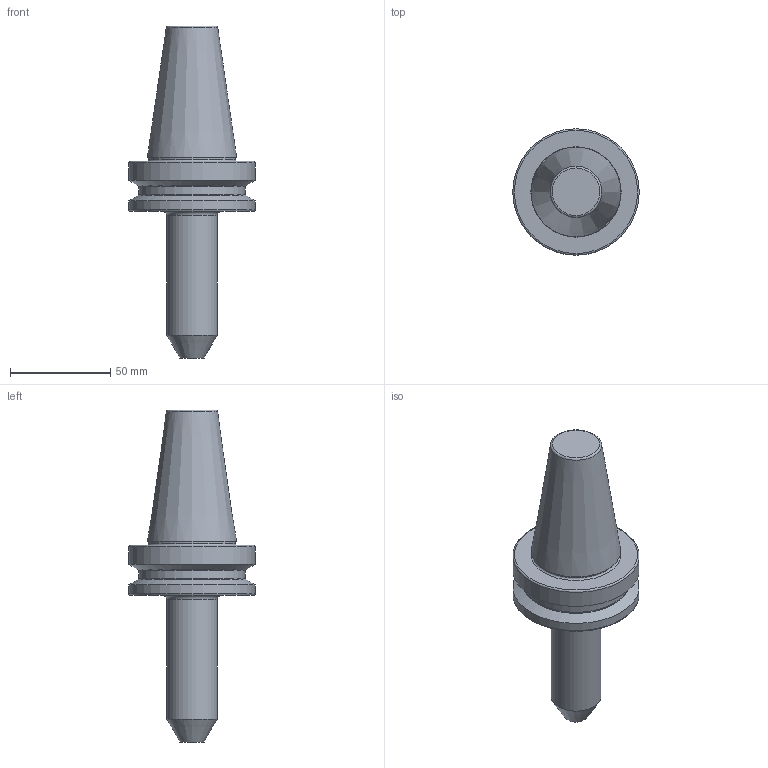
import cadquery as cq
import math


GAUGE_RADIUS = 44.45 / 2
TAPER_LENGTH = 65.4
TAPER_RATIO = 7 / 24
TAPER_END_RADIUS = GAUGE_RADIUS - TAPER_LENGTH * TAPER_RATIO / 2
TAPER_END_FILLET = 1.0

NECK_RADIUS = 21.5
NECK_FILLET = 1.0

FLANGE_RADIUS = 63.0 / 2
FLANGE_TOP_Z = -2.0
FLANGE_BOTTOM_Z = -27.0
FLANGE_FILLET = 0.8
GROOVE_RADIUS = 53.0 / 2
GROOVE_CENTER_Z = -16.6
GROOVE_MOUTH_WIDTH = 10.3
GROOVE_FLOOR_FILLET = 0.5
GROOVE_FLANK_ANGLE = 30.0

SHANK_RADIUS = 25.0 / 2
SHANK_FILLET = 2.0
TIP_RADIUS = 12.0 / 2
TIP_HALF_ANGLE = 30.0
TIP_Z = -100.0


def build_body():
    """Revolve everything except the gripper groove."""
    tip_length = (SHANK_RADIUS - TIP_RADIUS) / math.tan(math.radians(TIP_HALF_ANGLE))
    return (
        cq.Workplane("XZ")
        .moveTo(0, TIP_Z)
        .lineTo(TIP_RADIUS, TIP_Z)
        .lineTo(SHANK_RADIUS, TIP_Z + tip_length)
        .lineTo(SHANK_RADIUS, FLANGE_BOTTOM_Z - SHANK_FILLET)
        .radiusArc((SHANK_RADIUS + SHANK_FILLET, FLANGE_BOTTOM_Z), SHANK_FILLET)
        .lineTo(FLANGE_RADIUS - FLANGE_FILLET, FLANGE_BOTTOM_Z)
        .radiusArc((FLANGE_RADIUS, FLANGE_BOTTOM_Z + FLANGE_FILLET), -FLANGE_FILLET)
        .lineTo(FLANGE_RADIUS, FLANGE_TOP_Z - FLANGE_FILLET)
        .radiusArc((FLANGE_RADIUS - FLANGE_FILLET, FLANGE_TOP_Z), -FLANGE_FILLET)
        .lineTo(NECK_RADIUS + NECK_FILLET, FLANGE_TOP_Z)
        .radiusArc((NECK_RADIUS, FLANGE_TOP_Z + NECK_FILLET), NECK_FILLET)
        .lineTo(NECK_RADIUS, 0)
        .lineTo(GAUGE_RADIUS, 0)
        .lineTo(TAPER_END_RADIUS, TAPER_LENGTH)
        .lineTo(0, TAPER_LENGTH)
        .close()
        .revolve(360, (0, 0, 0), (0, 1, 0))
        .faces(">Z")
        .edges()
        .fillet(TAPER_END_FILLET)
    )


def build_groove():
    """Ring removed from the flange rim to form the trapezoidal gripper groove."""
    flank_run = (FLANGE_RADIUS - GROOVE_RADIUS) * math.tan(math.radians(GROOVE_FLANK_ANGLE))
    mouth_half_width = GROOVE_MOUTH_WIDTH / 2
    floor_half_width = mouth_half_width - flank_run
    profile = (
        cq.Sketch()
        .polygon(
            [
                (GROOVE_RADIUS, -floor_half_width),
                (FLANGE_RADIUS, -mouth_half_width),
                (FLANGE_RADIUS, mouth_half_width),
                (GROOVE_RADIUS, floor_half_width),
                (GROOVE_RADIUS, -floor_half_width),
            ]
        )
        .vertices("<X")
        .fillet(GROOVE_FLOOR_FILLET)
    )
    return (
        cq.Workplane("XZ", origin=(0, 0, GROOVE_CENTER_Z))
        .placeSketch(profile)
        .revolve(360, (0, 0, 0), (0, 1, 0))
    )


result = build_body().cut(build_groove())